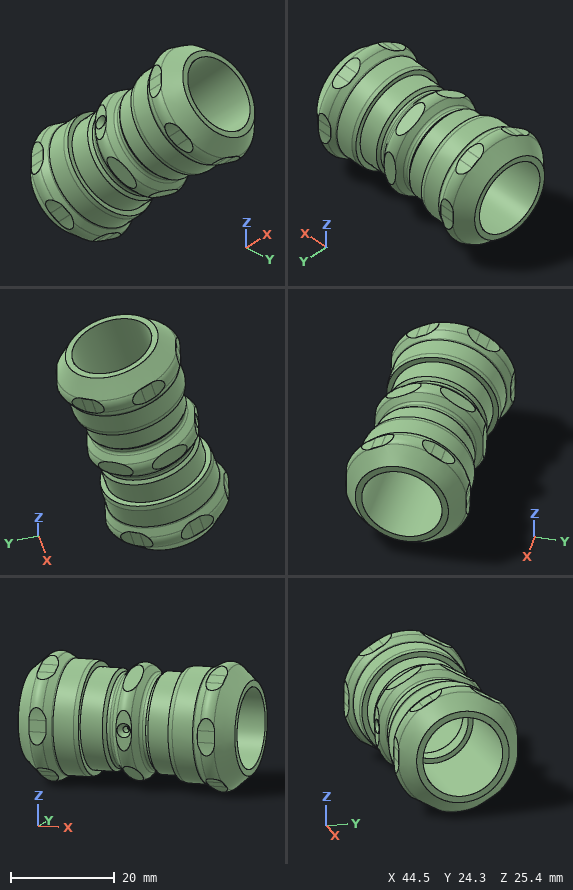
import cadquery as cq
import math

length = 44.5
half_length = length / 2

nut_face_radius = 9.3
nut_crown_start = (half_length - 3.35, 12.15)
nut_crown_top = (half_length - 4.75, 25.4 / 2)
nut_crown_end = (half_length - 6.05, 12.35)
nut_shoulder_x = half_length - 7.65
nut_shoulder_radius = 11.5
skirt_radius = 22.8 / 2
skirt_start_x = half_length - 7.9
skirt_end_x = half_length - 13.05
skirt_edge_length = 0.95
skirt_edge_drop = 0.22

body_radius = 20.1 / 2
neck_radius = 18.9 / 2
body_end_x = 4.67
neck_start_x = 4.0
neck_end_x = 3.35
collar_fillet_end = (2.65, 9.8)
collar_fillet_middle = (3.0, 9.52)
collar_crown_half_width = 1.45
collar_shoulder_radius = 11.0
collar_radius = 11.53

socket_radius = 16.0 / 2
stop_radius = 14.0 / 2
socket_depth = 20.45
stop_end_x = half_length - socket_depth

mark_count = 6
mark_step = 360 / mark_count
collar_flat_distance = 10.8
collar_flat_width = 4.45
notch_distance = 11.93
notch_center_x = half_length - 5.0
notch_width = 3.5
notch_flat_half = 1.15
notch_arc_radius = 13.35
cutter_half_span = 5.35
cutter_height = 3.55

screw_hole_radius = 0.62
screw_mouth_radius = 1.4
screw_cone_depth = 1.35


def sleeve_end():
    """Revolve the stretch from the collar crown to the +X end about the X axis."""
    outline = (
        cq.Workplane("XY")
        .moveTo(collar_crown_half_width, stop_radius)
        .lineTo(stop_end_x, stop_radius)
        .lineTo(stop_end_x, socket_radius)
        .lineTo(half_length, socket_radius)
        .lineTo(half_length, nut_face_radius)
        .lineTo(*nut_crown_start)
        .threePointArc(nut_crown_top, nut_crown_end)
        .lineTo(nut_shoulder_x, nut_shoulder_radius)
        .lineTo(skirt_start_x, skirt_radius)
        .lineTo(skirt_end_x + skirt_edge_length, skirt_radius)
        .lineTo(skirt_end_x, skirt_radius - skirt_edge_drop)
        .lineTo(skirt_end_x, body_radius)
        .lineTo(body_end_x, body_radius)
        .lineTo(neck_start_x, neck_radius)
        .lineTo(neck_end_x, neck_radius)
        .threePointArc(collar_fillet_middle, collar_fillet_end)
        .lineTo(collar_crown_half_width, collar_shoulder_radius)
        .close()
    )
    return outline.revolve(360, (0, 0, 0), (1, 0, 0))


def collar_crown():
    """Revolve the rounded middle of the collar about the X axis."""
    half_width = collar_crown_half_width
    outline = (
        cq.Workplane("XY")
        .moveTo(-half_width, stop_radius)
        .lineTo(half_width, stop_radius)
        .lineTo(half_width, collar_shoulder_radius)
        .threePointArc((0, collar_radius), (-half_width, collar_shoulder_radius))
        .close()
    )
    return outline.revolve(360, (0, 0, 0), (1, 0, 0))


def around_axis(cutter):
    """Return copies of a cutter at equally spaced places around X."""
    return [
        cutter.rotate((0, 0, 0), (1, 0, 0), index * mark_step)
        for index in range(mark_count)
    ]


def collar_flat_cutter():
    return cq.Workplane("XY").box(
        collar_flat_width, cutter_height, 2 * cutter_half_span, centered=(True, False, True)
    ).translate((0, collar_flat_distance, 0))


def notch_cutter():
    """Flat-bottomed notch whose sides curve outward tangent to the flat."""
    def arc_height(z):
        return notch_arc_radius - math.sqrt(notch_arc_radius**2 - (z - notch_flat_half)**2)

    middle_z = (notch_flat_half + cutter_half_span) / 2
    arc_middle_y = notch_distance + arc_height(middle_z)
    arc_end_y = notch_distance + arc_height(cutter_half_span)
    outer_y = notch_distance + cutter_height
    return (
        cq.Workplane("YZ")
        .moveTo(notch_distance, -notch_flat_half)
        .lineTo(notch_distance, notch_flat_half)
        .threePointArc((arc_middle_y, middle_z), (arc_end_y, cutter_half_span))
        .lineTo(outer_y, cutter_half_span)
        .lineTo(outer_y, -cutter_half_span)
        .lineTo(arc_end_y, -cutter_half_span)
        .threePointArc((arc_middle_y, -middle_z), (notch_distance, -notch_flat_half))
        .close()
        .extrude(notch_width / 2, both=True)
    )


def screw_hole_cutter():
    """Hole into the bore with a conical mouth on the collar flat."""
    flat_center = cq.Vector(0, -collar_flat_distance, 0)
    inward = cq.Vector(0, 1, 0)
    cone = cq.Solid.makeCone(
        screw_mouth_radius, screw_hole_radius, screw_cone_depth, flat_center, inward
    )
    hole = cq.Solid.makeCylinder(screw_hole_radius, collar_flat_distance, flat_center, inward)
    return cq.Workplane(cone).union(cq.Workplane(hole))


right_end = sleeve_end()
sleeve = collar_crown().union(right_end).union(right_end.mirror("YZ"))

for flat in around_axis(collar_flat_cutter()):
    sleeve = sleeve.cut(flat)
for side in (-1, 1):
    for notch in around_axis(notch_cutter()):
        sleeve = sleeve.cut(notch.translate((side * notch_center_x, 0, 0)))

result = sleeve.cut(screw_hole_cutter())